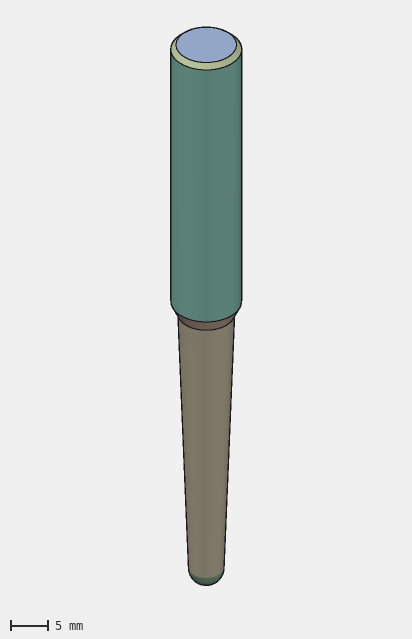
import cadquery as cq
import math

total_length = 88.9
handle_length = 44.45
bottom_z = -total_length / 2
top_z = total_length / 2
joint_z = top_z - handle_length

handle_radius = 4.76
top_chamfer = 0.7
cone_height = 2.05
cone_end_radius = 3.8

probe_top_radius = cone_end_radius
tip_radius = 2.4


def make_handle():
    """Cylindrical handle, revolved from its half section."""
    return (
        cq.Workplane("XZ")
        .moveTo(0, joint_z)
        .lineTo(cone_end_radius, joint_z)
        .lineTo(handle_radius, joint_z + cone_height)
        .lineTo(handle_radius, top_z - top_chamfer)
        .lineTo(handle_radius - top_chamfer, top_z)
        .lineTo(0, top_z)
        .close()
        .revolve(360, (0, 0, 0), (0, 1, 0))
    )


def make_probe():
    """Tapered probe with a hemispherical tip, meeting the handle face to face."""
    tip_centre_z = bottom_z + tip_radius
    arc_middle = tip_radius * math.sqrt(0.5)
    return (
        cq.Workplane("XZ")
        .moveTo(0, bottom_z)
        .threePointArc((arc_middle, tip_centre_z - arc_middle), (tip_radius, tip_centre_z))
        .lineTo(probe_top_radius, joint_z)
        .lineTo(0, joint_z)
        .close()
        .revolve(360, (0, 0, 0), (0, 1, 0))
    )


handle = make_handle()
probe = make_probe()

result = cq.Compound.makeCompound([handle.val(), probe.val()])